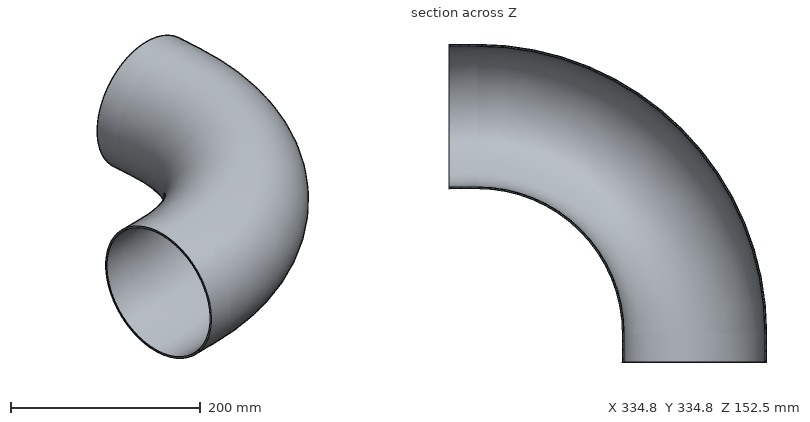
import cadquery as cq

overall_length = 334.8
outer_diameter = 152.5
inner_diameter = 148.3
bend_angle = 90

bend_radius = 1.5 * outer_diameter
collar_length = overall_length - bend_radius - outer_diameter / 2


def elbow_solid(diameter):
    """Solid elbow of one diameter, with its bend centred on the origin."""
    radius = diameter / 2

    collar_y = (
        cq.Workplane("XZ", origin=(bend_radius, 0, 0))
        .circle(radius)
        .extrude(collar_length)
    )
    bend = (
        cq.Workplane("XZ")
        .center(bend_radius, 0)
        .circle(radius)
        .revolve(bend_angle, (-bend_radius, 0, 0), (-bend_radius, 1, 0))
    )
    collar_x = (
        cq.Workplane("YZ", origin=(0, bend_radius, 0))
        .circle(radius)
        .extrude(-collar_length)
    )
    return collar_y.union(bend).union(collar_x)


result = elbow_solid(outer_diameter).cut(elbow_solid(inner_diameter))